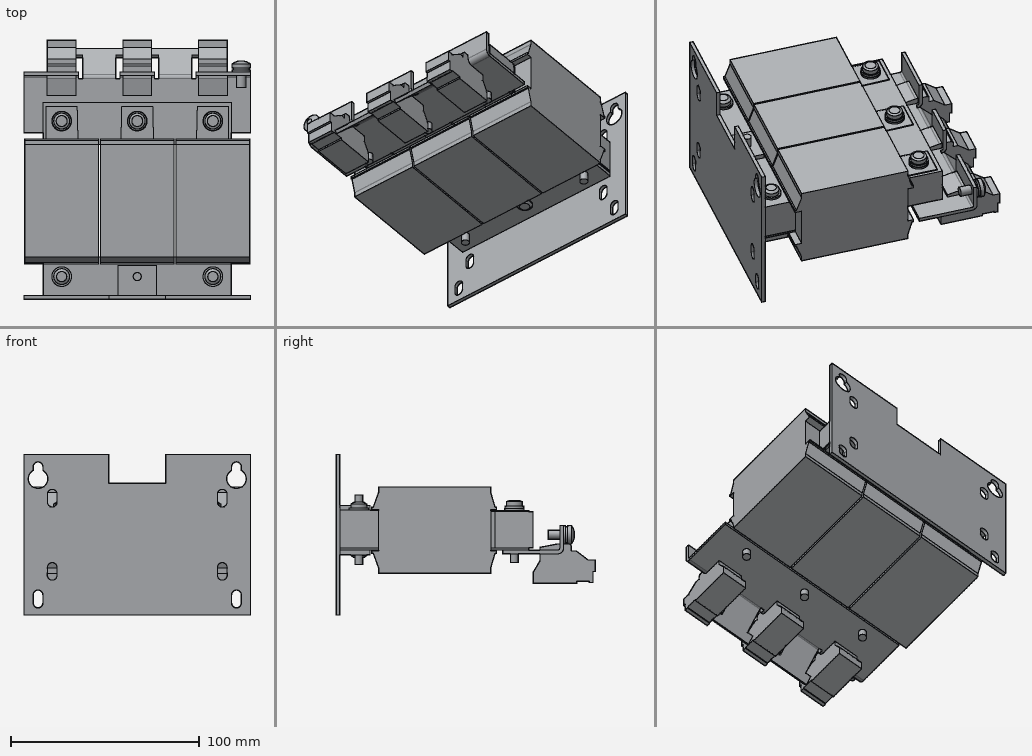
import cadquery as cq
import math


WIDTH = 120.0
OVERALL_DEPTH = 137.1
PITCH = 40.0
PHASES = (-PITCH, 0.0, PITCH)
SHEET = 2.0

PLATE_HEIGHT = 85.0
NOTCH_WIDTH = 30.0
NOTCH_DEPTH = 15.2
SLOT_WIDTH = 5.0
SLOT_LENGTH = 9.3
INNER_SLOT_X = 45.0
INNER_SLOT_Z = 19.4
OUTER_SLOT_X = 52.5
OUTER_SLOT_Z = -34.0
KEYHOLE_Z = 29.6
KEYHOLE_RADIUS = 5.1
KEYHOLE_TOP_Z = 38.5

TAB_THICKNESS = 2.5
TAB_END_Y = 18.0
TOP_TAB_WIDTH = 20.4

CORE_WIDTH = 99.6
CORE_TOP = 12.2
CORE_BOTTOM = -7.0
YOKE_DEPTH = 20.2
CORE_BACK_Y = 104.2
FRONT_SHEET_TOP = 13.0
LINER_BOTTOM = -8.1
LINER_INSET = 0.2
SPACER_INSET = 1.0

COIL_WIDTH = 39.1
COIL_FRONT_Y = 22.4
COIL_BACK_Y = 81.8
COIL_TOP = 25.3
COIL_BOTTOM = -20.5
COIL_MID_Z = (COIL_TOP + COIL_BOTTOM) / 2
FLARE_DROP = 2.9
RECESS_HALF_HEIGHT = 10.9
LIP_HEIGHT = 1.3
LIP_LENGTH = 0.8
FRONT_FLARE = 3.65
BACK_FLARE = 3.1

PAD_TOP = 12.75
PAD_BACK_Y = 102.0
PAD_HALF_WIDTH = 8.2
PAD_WIDENING = 0.5

BRACKET_FRONT_Y = 88.0
BRACKET_TOP = LINER_BOTTOM
LUG_BACK_Y = 120.3
LUG_TOP = 5.0
BEND_RADIUS = 1.0
OUTER_LUG_INNER_X = 31.0
MIDDLE_LUG_HALF_WIDTH = 9.2
RELIEF_WIDTH = 2.1
RELIEF_FRONT_Y = 116.8
APRON_ANGLE = 45.0
APRON_END_Y = 132.8
APRON_STEM_END_Y = 129.2

TERMINAL_WIDTH = 15.3
TERMINAL_BOTTOM = -25.8
TERMINAL_TOP = -4.9
TERMINAL_FRONT_Y = 104.2
TERMINAL_FRONT_TOP = -19.8
TERMINAL_NECK_Y = 107.8
TERMINAL_NECK_BOTTOM = -13.8
TERMINAL_NECK_TOP = -6.6
TERMINAL_TOP_FRONT_Y = 116.8
TERMINAL_POST_Y = 124.5
TERMINAL_CHAMFER = 1.0
TERMINAL_SHOULDER_Z = -8.6
TERMINAL_SLOPE_FRONT_Y = 127.1
TERMINAL_SLOPE_BACK_Y = 133.3
TERMINAL_NOSE_TOP = -13.3
TERMINAL_NOSE_BOTTOM = -19.5
TERMINAL_STEP = 1.2
TERMINAL_FOOT_LENGTH = 2.0
TERMINAL_FOOT_RISE = 0.5
TERMINAL_GROOVE_Y = 127.4
TERMINAL_GROOVE_DEPTH = 1.1

BOLT_DIAMETER = 4.3
WASHER_RADIUS = 5.2
WASHER_HEIGHT = 1.05
SPRING_WASHER_RADIUS = 5.0
HEAD_RADIUS = 4.2
BACK_BOLT_Y = 94.3
BACK_BOLT_TOP = 18.0
BACK_BOLT_BOTTOM = -14.8
BACK_WASHERS_TOP = 15.1
BACK_HEAD_FLAT_RADIUS = 2.9
BACK_HEAD_ROUNDING = 0.5
FRONT_BOLT_Y = 12.0
FRONT_BOLT_BOTTOM = -15.8
FRONT_HEAD_HEIGHT = 3.2
CROWN_HEIGHT = 1.0
CROWN_RADIUS = 2.7
MIDDLE_SCREW_TOP = 21.1
SCREW_RIM_HEIGHT = 0.5
EARTH_X = 55.0
EARTH_DIAMETER = 5.0
EARTH_TIP_Y = 112.2
EARTH_WASHER_RADIUS = 4.8
EARTH_SPRING_RADIUS = 4.3
EARTH_HEAD_RADIUS = 4.95
EARTH_HEAD_HEIGHT = 2.1
EARTH_DOME_HEIGHT = 1.6
EARTH_DOME_MID_RADIUS = 3.7
EARTH_DOME_FLAT_RADIUS = 1.5


def block(x0, x1, y0, y1, z0, z1):
    """Box given by its limits on each axis."""
    return cq.Workplane("XY").box(x1 - x0, y1 - y0, z1 - z0, centered=False).translate((x0, y0, z0))


def wide_block(width, y0, y1, z0, z1):
    """Box centred on X = 0."""
    return block(-width / 2, width / 2, y0, y1, z0, z1)


def side_prism(points, x_center, width):
    """Closed (Y, Z) outline extruded along X, centred on x_center."""
    prism = cq.Workplane("YZ").polyline(points).close().extrude(width / 2, both=True)
    return prism.translate((x_center, 0, 0))


def rod(x, y, z0, z1, radius):
    """Upright cylinder from z0 to z1."""
    return cq.Workplane("XY", origin=(x, y, z0)).circle(radius).extrude(z1 - z0)


def cone(x, y, z0, z1, radius0, radius1):
    """Upright truncated cone from z0 to z1; z1 may be lower than z0."""
    axis = cq.Vector(0, 0, math.copysign(1, z1 - z0))
    solid = cq.Solid.makeCone(radius0, radius1, abs(z1 - z0), cq.Vector(x, y, z0), axis)
    return cq.Workplane(obj=solid)


def make_plate():
    """Upright mounting plate with a top notch, two keyholes and six slots."""
    half_height = PLATE_HEIGHT / 2
    plate = wide_block(WIDTH, 0, SHEET, -half_height, half_height)
    plate = plate.cut(wide_block(NOTCH_WIDTH, 0, SHEET, half_height - NOTCH_DEPTH, half_height))

    def holes():
        return cq.Workplane("XZ", origin=(0, SHEET, 0))

    slots = [(side * INNER_SLOT_X, z) for side in (-1, 1) for z in (-INNER_SLOT_Z, INNER_SLOT_Z)]
    slots += [(side * OUTER_SLOT_X, OUTER_SLOT_Z) for side in (-1, 1)]
    keyholes = [(side * OUTER_SLOT_X, KEYHOLE_Z) for side in (-1, 1)]
    neck_length = KEYHOLE_TOP_Z - KEYHOLE_Z + SLOT_WIDTH / 2
    necks = [(x, KEYHOLE_TOP_Z - neck_length / 2) for x, _ in keyholes]

    plate = plate.cut(holes().pushPoints(slots).slot2D(SLOT_LENGTH, SLOT_WIDTH, 90).extrude(SHEET))
    plate = plate.cut(holes().pushPoints(keyholes).circle(KEYHOLE_RADIUS).extrude(SHEET))
    return plate.cut(holes().pushPoints(necks).slot2D(neck_length, SLOT_WIDTH, 90).extrude(SHEET))


def make_tabs():
    """Tabs of the mounting plate that clamp the front yoke from above and below."""
    top_tab = wide_block(TOP_TAB_WIDTH, SHEET, TAB_END_Y, FRONT_SHEET_TOP, FRONT_SHEET_TOP + TAB_THICKNESS)
    bottom_tab = wide_block(CORE_WIDTH, SHEET, TAB_END_Y, LINER_BOTTOM - TAB_THICKNESS, LINER_BOTTOM)
    return top_tab.union(bottom_tab)


def make_core():
    """Front and back yokes with the gap spacer; the legs are inside the coils."""
    front_yoke = wide_block(CORE_WIDTH, SHEET, COIL_FRONT_Y, CORE_BOTTOM, FRONT_SHEET_TOP)
    liner_width = CORE_WIDTH - 2 * LINER_INSET
    front_liner = wide_block(liner_width, SHEET, COIL_FRONT_Y, LINER_BOTTOM, CORE_BOTTOM)
    back_yoke = wide_block(CORE_WIDTH, CORE_BACK_Y - YOKE_DEPTH, CORE_BACK_Y, CORE_BOTTOM, CORE_TOP)
    spacer_width = CORE_WIDTH - 2 * SPACER_INSET
    spacer = wide_block(spacer_width, COIL_BACK_Y, CORE_BACK_Y - YOKE_DEPTH, CORE_BOTTOM, CORE_TOP)
    return front_yoke.union(front_liner).union(back_yoke).union(spacer)


def make_coil(x):
    """Coil body with flared lips above and below the yokes at both ends."""
    left = x - COIL_WIDTH / 2
    right = x + COIL_WIDTH / 2
    coil = block(left, right, COIL_FRONT_Y, COIL_BACK_Y, COIL_BOTTOM, COIL_TOP)
    half_height = (COIL_TOP - COIL_BOTTOM) / 2
    for end_y, reach in ((COIL_FRONT_Y, -FRONT_FLARE), (COIL_BACK_Y, BACK_FLARE)):
        tip_y = end_y + reach
        slope_end_y = tip_y - math.copysign(LIP_LENGTH, reach)
        for up in (-1, 1):
            recess_z = COIL_MID_Z + up * RECESS_HALF_HEIGHT
            lip_z = recess_z + up * LIP_HEIGHT
            flare = [
                (end_y, recess_z),
                (tip_y, recess_z),
                (tip_y, lip_z),
                (slope_end_y, lip_z),
                (end_y, COIL_MID_Z + up * (half_height - FLARE_DROP)),
            ]
            coil = coil.union(side_prism(flare, x, COIL_WIDTH))
    return coil


def make_pads(x):
    """Tapered liner pads on the back yoke; outer pads are straight on their outer side."""
    left_widening = PAD_WIDENING if x >= 0 else 0
    right_widening = PAD_WIDENING if x <= 0 else 0
    outline = [
        (x - PAD_HALF_WIDTH, PAD_BACK_Y),
        (x + PAD_HALF_WIDTH, PAD_BACK_Y),
        (x + PAD_HALF_WIDTH + right_widening, COIL_BACK_Y),
        (x - PAD_HALF_WIDTH - left_widening, COIL_BACK_Y),
    ]
    pads = None
    for z0, z1 in ((CORE_TOP, PAD_TOP), (LINER_BOTTOM, CORE_BOTTOM)):
        pad = cq.Workplane("XY", origin=(0, 0, z0)).polyline(outline).close().extrude(z1 - z0)
        pads = pad if pads is None else pads.union(pad)
    return pads


def bent_sheet(bend_y, bend_center_z, angle, length, x0, x1):
    """Strip that leaves the bracket at bend_y, bends by a signed angle and runs straight on.

    A positive angle bends upward, a negative one downward.
    """
    up = math.copysign(1, angle)
    turn = math.radians(abs(angle))
    inner = BEND_RADIUS
    outer = BEND_RADIUS + SHEET

    def on_arc(radius, t):
        return (bend_y + radius * math.sin(t), bend_center_z - up * radius * math.cos(t))

    def beyond(point):
        return (point[0] + length * math.cos(turn), point[1] + up * length * math.sin(turn))

    outer_end = on_arc(outer, turn)
    inner_end = on_arc(inner, turn)
    profile = (
        cq.Workplane("YZ", origin=(x0, 0, 0))
        .moveTo(*on_arc(outer, 0))
        .threePointArc(on_arc(outer, turn / 2), outer_end)
        .lineTo(*beyond(outer_end))
        .lineTo(*beyond(inner_end))
        .lineTo(*inner_end)
        .threePointArc(on_arc(inner, turn / 2), on_arc(inner, 0))
        .close()
    )
    return profile.extrude(x1 - x0)


def make_bracket():
    """Bent sheet bracket that carries the terminals behind the back yoke."""
    bracket_bottom = BRACKET_TOP - SHEET
    outer_radius = BEND_RADIUS + SHEET
    lug_bend_y = LUG_BACK_Y - outer_radius
    lug_bend_z = BRACKET_TOP + BEND_RADIUS
    half_width = WIDTH / 2
    bracket = wide_block(WIDTH, BRACKET_FRONT_Y, RELIEF_FRONT_Y, bracket_bottom, BRACKET_TOP)

    lug_spans = (
        (-half_width, -OUTER_LUG_INNER_X),
        (-MIDDLE_LUG_HALF_WIDTH, MIDDLE_LUG_HALF_WIDTH),
        (OUTER_LUG_INNER_X, half_width),
    )
    for x0, x1 in lug_spans:
        bracket = bracket.union(block(x0, x1, RELIEF_FRONT_Y, lug_bend_y, bracket_bottom, BRACKET_TOP))
        bracket = bracket.union(bent_sheet(lug_bend_y, lug_bend_z, 90, LUG_TOP - lug_bend_z, x0, x1))

    slope = math.radians(APRON_ANGLE)
    apron_bend_z = bracket_bottom - BEND_RADIUS
    slope_start_y = RELIEF_FRONT_Y + outer_radius * math.sin(slope)
    apron_length = (APRON_END_Y - slope_start_y) / math.cos(slope)
    stem_length = (APRON_STEM_END_Y - slope_start_y) / math.cos(slope)
    bar_half_width = PITCH - TERMINAL_WIDTH / 2
    stem_inner_x = MIDDLE_LUG_HALF_WIDTH + RELIEF_WIDTH
    stem_outer_x = OUTER_LUG_INNER_X - RELIEF_WIDTH

    apron = bent_sheet(
        RELIEF_FRONT_Y, apron_bend_z, -APRON_ANGLE, apron_length, -bar_half_width, bar_half_width
    )
    opening_spans = (
        (-bar_half_width, -stem_outer_x),
        (-stem_inner_x, stem_inner_x),
        (stem_outer_x, bar_half_width),
    )
    for x0, x1 in opening_spans:
        apron = apron.cut(bent_sheet(RELIEF_FRONT_Y, apron_bend_z, -APRON_ANGLE, stem_length, x0, x1))
    return bracket.union(apron)


def make_terminal(x):
    """Terminal block standing through the bracket."""
    front_y = TERMINAL_FRONT_Y
    neck_y = TERMINAL_NECK_Y
    back_y = OVERALL_DEPTH
    foot_y = OVERALL_DEPTH - TERMINAL_STEP
    ledge_y = foot_y - TERMINAL_FOOT_LENGTH
    post_y = TERMINAL_POST_Y
    bottom = TERMINAL_BOTTOM
    top = TERMINAL_TOP
    outline = [
        (front_y, bottom),
        (TERMINAL_GROOVE_Y, bottom),
        (TERMINAL_GROOVE_Y, bottom + TERMINAL_GROOVE_DEPTH),
        (ledge_y, bottom + TERMINAL_GROOVE_DEPTH),
        (ledge_y, bottom + TERMINAL_FOOT_RISE),
        (foot_y, bottom + TERMINAL_FOOT_RISE),
        (foot_y, TERMINAL_NOSE_BOTTOM),
        (back_y, TERMINAL_NOSE_BOTTOM),
        (back_y, TERMINAL_NOSE_TOP),
        (TERMINAL_SLOPE_BACK_Y, TERMINAL_NOSE_TOP),
        (TERMINAL_SLOPE_FRONT_Y, TERMINAL_SHOULDER_Z),
        (post_y, TERMINAL_SHOULDER_Z),
        (post_y, top - TERMINAL_CHAMFER),
        (post_y - TERMINAL_CHAMFER, top),
        (TERMINAL_TOP_FRONT_Y, top),
        (neck_y, TERMINAL_NECK_TOP),
        (neck_y, TERMINAL_NECK_BOTTOM),
        (front_y, TERMINAL_FRONT_TOP),
    ]
    return side_prism(outline, x, TERMINAL_WIDTH)


def make_back_bolt(x):
    """Bolt through the back yoke and bracket, with two washers and a rounded head."""
    y = BACK_BOLT_Y
    shoulder_z = BACK_BOLT_TOP - BACK_HEAD_ROUNDING
    bolt = rod(x, y, BACK_BOLT_BOTTOM, BACK_WASHERS_TOP, BOLT_DIAMETER / 2)
    bolt = bolt.union(rod(x, y, PAD_TOP, PAD_TOP + WASHER_HEIGHT, WASHER_RADIUS))
    bolt = bolt.union(rod(x, y, PAD_TOP, BACK_WASHERS_TOP, SPRING_WASHER_RADIUS))
    bolt = bolt.union(rod(x, y, BACK_WASHERS_TOP, shoulder_z, HEAD_RADIUS))
    return bolt.union(cone(x, y, shoulder_z, BACK_BOLT_TOP, HEAD_RADIUS, BACK_HEAD_FLAT_RADIUS))


def make_front_bolt(x):
    """Bolt through the front yoke and bottom tab, with washer and crowned head."""
    y = FRONT_BOLT_Y
    crown_start = FRONT_SHEET_TOP + FRONT_HEAD_HEIGHT
    crown_end = crown_start + CROWN_HEIGHT
    bolt = rod(x, y, FRONT_BOLT_BOTTOM, crown_start, BOLT_DIAMETER / 2)
    bolt = bolt.union(rod(x, y, FRONT_SHEET_TOP, FRONT_SHEET_TOP + WASHER_HEIGHT, WASHER_RADIUS))
    bolt = bolt.union(rod(x, y, FRONT_SHEET_TOP, crown_start, HEAD_RADIUS))
    return bolt.union(cone(x, y, crown_start, crown_end, HEAD_RADIUS, CROWN_RADIUS))


def make_middle_screw():
    """Screw pointing up through both tabs, its crowned head under the bottom tab."""
    y = FRONT_BOLT_Y
    seat = LINER_BOTTOM - TAB_THICKNESS
    crown_start = seat - SCREW_RIM_HEIGHT
    crown_end = crown_start - CROWN_HEIGHT
    screw = rod(0, y, seat, MIDDLE_SCREW_TOP, BOLT_DIAMETER / 2)
    screw = screw.union(rod(0, y, crown_start, seat, HEAD_RADIUS))
    return screw.union(cone(0, y, crown_start, crown_end, HEAD_RADIUS, CROWN_RADIUS))


def make_earth_screw():
    """Domed screw with flat and spring washers on the right-hand lug."""
    washer_end = LUG_BACK_Y + WASHER_HEIGHT
    spring_end = washer_end + WASHER_HEIGHT
    rim = spring_end + EARTH_HEAD_HEIGHT
    dome_end = rim + EARTH_DOME_HEIGHT
    bulge_y = rim + EARTH_DOME_HEIGHT / 2
    half_profile = (
        cq.Workplane("XY")
        .moveTo(0, EARTH_TIP_Y)
        .lineTo(EARTH_DIAMETER / 2, EARTH_TIP_Y)
        .lineTo(EARTH_DIAMETER / 2, LUG_BACK_Y)
        .lineTo(EARTH_WASHER_RADIUS, LUG_BACK_Y)
        .lineTo(EARTH_WASHER_RADIUS, washer_end)
        .lineTo(EARTH_SPRING_RADIUS, washer_end)
        .lineTo(EARTH_SPRING_RADIUS, spring_end)
        .lineTo(EARTH_HEAD_RADIUS, spring_end)
        .lineTo(EARTH_HEAD_RADIUS, rim)
        .threePointArc((EARTH_DOME_MID_RADIUS, bulge_y), (EARTH_DOME_FLAT_RADIUS, dome_end))
        .lineTo(0, dome_end)
        .close()
    )
    return half_profile.revolve(360, (0, 0, 0), (0, 1, 0)).translate((EARTH_X, 0, 0))


part = make_plate().union(make_tabs()).union(make_core()).union(make_bracket())
for phase_x in PHASES:
    part = part.union(make_coil(phase_x))
    part = part.union(make_pads(phase_x))
    part = part.union(make_terminal(phase_x))
    part = part.union(make_back_bolt(phase_x))
for bolt_x in (-PITCH, PITCH):
    part = part.union(make_front_bolt(bolt_x))
part = part.union(make_middle_screw())
result = part.union(make_earth_screw())